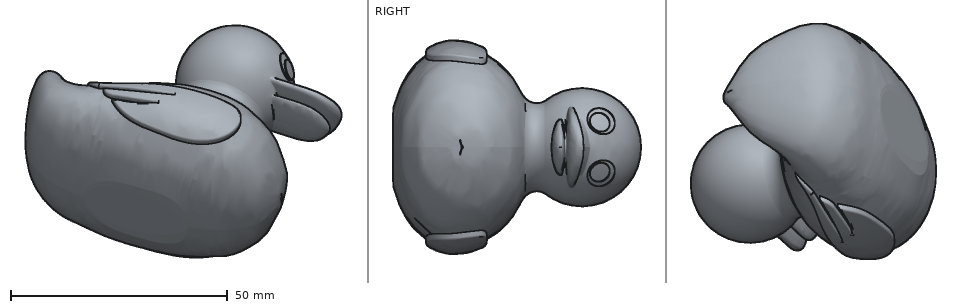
import cadquery as cq
import math


HEAD_RADIUS = 13.69
HEAD_CENTRE_Y = 43.6
NECK_WAIST_RADIUS = 10.2
NECK_WAIST_Y = 33.1
NECK_TOP_Y = 35.0
NECK_FOOT_RADIUS = 11.9
NECK_FOOT_Y = 30.1
NECK_ROOT_Y = 24.0

PAD_REAR_X = -20.6
PAD_FRONT_X = 4.0
PAD_HALF_WIDTH = 7.0
PAD_WIDEST_X = -11.0
BORDER_END = 1.2
BORDER_SIDE = 2.1
BORDER_RISE = 0.12
BORDER_GROWTH = 25
EGG_POINTS = 12
TRIM_SPAN = 200.0
TRIM_DEPTH = 10.0

WING_THICKNESS = 1.39
WING_INNER_Z = 12.0
WING_OUTER_Z = 30.0
WING_EDGE_ROUND = 0.5
WING_TIP = (-27.1, 18.9)
WING_MAIN_EDGE = [
    (-22.6, 18.0),
    (-12.3, 19.5),
    (1.1, 21.6),
    (6.3, 21.7),
    (9.4, 20.9),
    (10.7, 18.5),
    (9.9, 13.0),
    (4.8, 8.9),
    (-6.1, 7.65),
    (-15.4, 9.5),
    (-18.6, 12.1),
]

EYE_RADIUS = 3.35
EYE_CENTRE_XY = (11.35, 4.55)
EYE_HEIGHT = 0.2
PUPIL_RADIUS = 2.4
PUPIL_CENTRE_XY = (11.75, 4.1)
PUPIL_HEIGHT = 0.45
EYE_ROOT_DEPTH = 0.8 * HEAD_RADIUS

UPPER_BILL_BLEND = 0.3
LOWER_BILL_BLEND = 0.2
EDGE_SAMPLES = (0.3, 0.5, 0.7)
EDGE_TOLERANCE = 0.02

SECTION_POINTS = 13

BODY_TAIL_TIP = (-39.0, 31.1)
BODY_BREAST_TIP = (21.8, 16.2)
BODY_STATIONS = [
    ((-40.3, 30.7), (-37.5, 30.7), 1.7),
    ((-41.1, 29.7), (-36.6, 29.7), 2.9),
    ((-42.22, 25.8), (-35.2, 27.2), 8.0),
    ((-41.75, 19.0), (-33.7, 25.3), 12.6),
    ((-39.3, 10.5), (-32.0, 24.2), 15.8),
    ((-35.0, 4.6), (-30.3, 23.6), 18.2),
    ((-29.5, 1.6), (-28.0, 23.6), 19.8),
    ((-23.0, 0.32), (-23.0, 25.2), 21.2),
    ((-15.0, -0.75), (-15.0, 28.6), 22.8),
    ((-8.0, -1.0), (-8.0, 31.2), 23.3),
    ((0.0, -0.75), (0.0, 32.5), 22.8),
    ((6.0, 0.4), (6.0, 32.2), 21.6),
    ((11.0, 1.5), (11.0, 30.6), 19.6),
    ((15.0, 3.25), (15.0, 28.6), 16.5),
    ((18.0, 5.2), (18.0, 25.9), 12.9),
    ((20.0, 7.6), (20.0, 23.4), 9.0),
    ((21.3, 11.3), (21.3, 20.3), 4.8),
]
BODY_WIDEST = 0.47
BODY_POWERS = (2.05, 2.05)

UPPER_BILL_ROOT = (6.0, 41.3)
UPPER_BILL_TIP = (26.35, 43.3)
UPPER_BILL_STATIONS = [
    ((8.0, 39.8), (8.0, 42.8), 9.7),
    ((11.5, 39.8), (11.5, 42.6), 9.2),
    ((17.5, 39.9), (17.5, 42.9), 8.6),
    ((20.5, 40.0), (20.5, 43.3), 7.8),
    ((23.4, 40.4), (23.4, 43.7), 6.1),
    ((25.4, 41.5), (25.4, 44.0), 3.5),
    ((26.1, 42.3), (26.1, 43.85), 1.6),
]
LOWER_BILL_ROOT = (6.0, 38.5)
LOWER_BILL_TIP = (25.2, 38.6)
LOWER_BILL_STATIONS = [
    ((9.0, 37.4), (9.0, 39.75), 6.6),
    ((12.0, 37.0), (12.0, 39.75), 6.5),
    ((17.7, 36.6), (17.7, 39.75), 6.4),
    ((21.3, 36.7), (21.3, 39.7), 5.5),
    ((23.6, 37.2), (23.6, 39.6), 3.6),
    ((24.8, 37.9), (24.8, 39.3), 1.6),
]
BRIDGE_ROOT = (7.0, 44.0)
BRIDGE_TIP = (19.6, 43.0)
BRIDGE_STATIONS = [
    ((10.0, 40.5), (10.0, 47.5), 8.0),
    ((13.8, 40.5), (13.8, 45.4), 5.5),
    ((16.5, 40.8), (16.5, 44.1), 4.0),
    ((18.5, 41.2), (18.5, 43.4), 2.0),
]
BILL_WIDEST = 0.5
LOWER_BILL_WIDEST = 0.65
LOWER_BILL_POWERS = (2.0, 2.0)
UPPER_BILL_POWERS = (2.8, 2.8)
BRIDGE_POWERS = (1.5, 1.5)


def section(bottom, top, half_width, widest, powers):
    """Half superellipse edge on the +Z side, running from the bottom point to the top point."""
    points = []
    for i in range(SECTION_POINTS):
        angle = math.pi * i / (SECTION_POINTS - 1)
        along = -math.cos(angle)
        power = powers[0] if along < 0 else powers[1]
        reach = widest if along < 0 else 1 - widest
        z = half_width * math.sin(angle) ** (2 / power)
        height = widest + reach * math.copysign(abs(along) ** (2 / power), along)
        x = bottom[0] + height * (top[0] - bottom[0])
        y = bottom[1] + height * (top[1] - bottom[1])
        points.append(cq.Vector(x, y, z))
    outward = cq.Vector(0, 0, half_width)
    parameters = [i / (SECTION_POINTS - 1) for i in range(SECTION_POINTS)]
    slopes = [outward * math.pi, outward * -math.pi]
    return cq.Edge.makeSpline(points, tangents=slopes, parameters=parameters, scale=False)


def station_loft(stations, widest, powers, start_tip, end_tip, extra_width=0.0):
    """Solid mirrored about Z = 0, smooth through the stations and closing to a point at both tips."""
    sections = [section(low, high, width + extra_width, widest, powers) for low, high, width in stations]
    tips = [cq.Vertex.makeVertex(*tip, 0) for tip in (start_tip, end_tip)]
    skin = cq.occ_impl.shapes.loft([tips[0], *sections, tips[1]], parametrization="chordal").Faces()[0]
    return cq.Workplane(obj=cq.Solid.makeSolid(cq.Shell.makeShell([skin, skin.mirror("XY")])))


def body_form(extra_width=0.0):
    return station_loft(BODY_STATIONS, BODY_WIDEST, BODY_POWERS, BODY_TAIL_TIP, BODY_BREAST_TIP, extra_width)


def egg(height, growth):
    """Egg outline in a horizontal plane, grown from the pad's edge by a multiple of its border."""
    half_width = PAD_HALF_WIDTH + growth * BORDER_SIDE
    rear = PAD_WIDEST_X - PAD_REAR_X + growth * BORDER_END
    front = PAD_FRONT_X - PAD_WIDEST_X + growth * BORDER_END
    centre = cq.Vector(PAD_WIDEST_X, height, 0)
    points = []
    for i in range(EGG_POINTS):
        angle = 2 * math.pi * i / EGG_POINTS
        length = front if math.cos(angle) > 0 else rear
        points.append(centre + cq.Vector(length * math.cos(angle), 0, half_width * math.sin(angle)))
    return cq.Wire.assembleEdges([cq.Edge.makeSpline(points, periodic=True)])


def base_trim():
    """Material to remove below the body, leaving the flat pad and a shallow border sloping up around it."""
    slab_height = BORDER_GROWTH * BORDER_RISE
    plane = cq.Workplane("XZ", origin=(0, slab_height, 0))
    slab = plane.rect(TRIM_SPAN, TRIM_SPAN).extrude(slab_height + TRIM_DEPTH)
    pad = cq.Solid.makeLoft([egg(0, 0), egg(slab_height, BORDER_GROWTH)])
    return slab.cut(cq.Workplane(obj=pad))


def head_and_neck():
    head_top = HEAD_CENTRE_Y + HEAD_RADIUS
    neck_top_radius = math.sqrt(HEAD_RADIUS**2 - (HEAD_CENTRE_Y - NECK_TOP_Y) ** 2)
    return (
        cq.Workplane("XY")
        .moveTo(0, NECK_ROOT_Y)
        .lineTo(NECK_FOOT_RADIUS, NECK_ROOT_Y)
        .lineTo(NECK_FOOT_RADIUS, NECK_FOOT_Y)
        .threePointArc((NECK_WAIST_RADIUS, NECK_WAIST_Y), (neck_top_radius, NECK_TOP_Y))
        .threePointArc((HEAD_RADIUS, HEAD_CENTRE_Y), (0, head_top))
        .close()
        .revolve(360, (0, 0, 0), (0, 1, 0))
    )


def wing_outline():
    """Wing outline with three feather tips parted by two narrow notches."""
    return (
        cq.Workplane("XY", origin=(0, 0, WING_INNER_Z))
        .moveTo(*WING_TIP)
        .spline(WING_MAIN_EDGE, includeCurrent=True)
        .spline([(-13.4, 12.2), (-7.9, 13.65)], includeCurrent=True)
        .spline([(-13.4, 13.0), (-18.9, 12.9)], includeCurrent=True)
        .spline([(-20.8, 13.7), (-21.8, 15.1)], includeCurrent=True)
        .spline([(-15.0, 15.4), (-5.3, 17.4)], includeCurrent=True)
        .spline([(-14.5, 16.3), (-23.3, 16.1)], includeCurrent=True)
        .spline([(-25.4, 17.2), WING_TIP], includeCurrent=True)
        .close()
    )


def wing():
    """Slice of a widened body inside the wing outline, with the rim of its outer face rounded."""
    prism = wing_outline().extrude(WING_OUTER_Z - WING_INNER_Z)
    slab = prism.intersect(body_form(WING_THICKNESS))
    curved_faces = [face for face in slab.faces().vals() if face.geomType() == "BSPLINE"]
    outer_face = max(curved_faces, key=lambda face: face.Center().z)
    return slab.newObject(outer_face.Edges()).fillet(WING_EDGE_ROUND)


def head_disc(centre_xy, radius, height):
    """Disc standing proud of the head and concentric with it, centred at an XY offset from the head."""
    depth = math.sqrt(HEAD_RADIUS**2 - centre_xy[0] ** 2 - centre_xy[1] ** 2)
    plane = cq.Plane(origin=(0, HEAD_CENTRE_Y, 0), normal=(*centre_xy, depth))
    shell = cq.Workplane("XY", origin=(0, HEAD_CENTRE_Y, 0)).sphere(HEAD_RADIUS + height)
    rod = cq.Workplane(plane).workplane(offset=EYE_ROOT_DEPTH).circle(radius).extrude(HEAD_RADIUS)
    return rod.intersect(shell)


def eye():
    white = head_disc(EYE_CENTRE_XY, EYE_RADIUS, EYE_HEIGHT)
    pupil = head_disc(PUPIL_CENTRE_XY, PUPIL_RADIUS, PUPIL_HEIGHT)
    return white.union(pupil)


def upper_bill():
    bill = station_loft(UPPER_BILL_STATIONS, BILL_WIDEST, UPPER_BILL_POWERS, UPPER_BILL_ROOT, UPPER_BILL_TIP)
    bridge = station_loft(BRIDGE_STATIONS, BILL_WIDEST, BRIDGE_POWERS, BRIDGE_ROOT, BRIDGE_TIP)
    return bill.union(bridge)


def lower_bill():
    return station_loft(
        LOWER_BILL_STATIONS, LOWER_BILL_WIDEST, LOWER_BILL_POWERS, LOWER_BILL_ROOT, LOWER_BILL_TIP
    )


def lies_on_head(edge):
    """True for an edge running over the head sphere, clear of the mirror plane."""
    centre = cq.Vector(0, HEAD_CENTRE_Y, 0)
    samples = [edge.positionAt(fraction) for fraction in EDGE_SAMPLES]
    on_sphere = all(abs((point - centre).Length - HEAD_RADIUS) < EDGE_TOLERANCE for point in samples)
    return on_sphere and all(abs(point.z) > EDGE_TOLERANCE for point in samples)


def with_blended_bill(head, bill, blend):
    """Head with the bill joined to it and the joint rounded."""
    joined = head.union(bill)
    box = bill.val().BoundingBox()
    on_head = [edge for edge in joined.edges().vals() if lies_on_head(edge)]
    joint = [edge for edge in on_head if box.ymin < edge.Center().y < box.ymax]
    return joined.newObject(joint).fillet(blend)


head = with_blended_bill(head_and_neck(), upper_bill(), UPPER_BILL_BLEND)
head = with_blended_bill(head, lower_bill(), LOWER_BILL_BLEND)
result = body_form().cut(base_trim()).union(head)
for side_feature in (wing(), eye()):
    result = result.union(side_feature).union(side_feature.mirror("XY"))